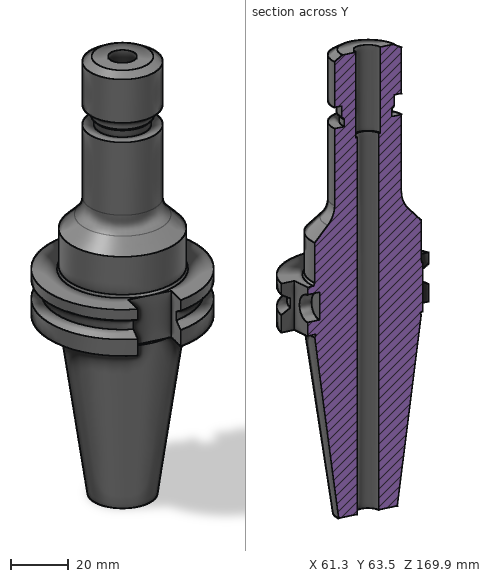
import cadquery as cq
import math


gauge_dia = 44.45
taper_length = 68.25
taper_ratio = 7 / 24
relief_height = 1.0
relief_depth = 0.5

flange_dia = 63.5
flange_top_z = 19.05
groove_z = 11.18
groove_floor_dia = 56.4
groove_floor_width = 3.4
groove_wall_angle = 30

slot_width = 16.4
left_slot_x = 25.2
right_slot_x = 22.8
side_hole_dia = 10.0
side_hole_depth = 5.0

body_dia = 44.4
foot_height = 1.0
foot_width = 0.6
shoulder_z = 34.8
neck_dia = 28.0
neck_fillet = 9.5
shoulder_angle = 45
neck_top_z = 75.2

undercut_dia = 20.0
undercut_top_z = 77.8
collar_dia = 22.0
collar_bottom_z = 78.8
nut_dia = 28.0
nut_bottom_z = 82.8
nut_top_z = 101.6
nut_face_dia = 21.4
nut_chamfer_angle = 30

collet_bore_dia = 10.0
collet_bore_depth = 31.5
through_bore_dia = 8.8


def revolved_body():
    """Solid of revolution of the whole outline, from the small taper end up to the nut face."""
    gauge_radius = gauge_dia / 2
    tip_radius = gauge_radius - taper_length * taper_ratio / 2
    flange_radius = flange_dia / 2
    floor_radius = groove_floor_dia / 2
    floor_half = groove_floor_width / 2
    wall_rise = (flange_radius - floor_radius) * math.tan(math.radians(groove_wall_angle))
    mouth_half = floor_half + wall_rise

    body_radius = body_dia / 2
    neck_radius = neck_dia / 2
    slope = math.radians(shoulder_angle)
    corner_z = shoulder_z + (body_radius - neck_radius) * math.tan(slope)
    turn = math.pi / 2 - slope
    fillet_top_z = corner_z + neck_fillet * math.tan(turn / 2)
    fillet_center_r = neck_radius + neck_fillet

    def fillet_point(angle):
        return (
            fillet_center_r - neck_fillet * math.cos(angle),
            fillet_top_z - neck_fillet * math.sin(angle),
        )

    nut_radius = nut_dia / 2
    nut_face_radius = nut_face_dia / 2
    nut_chamfer = (nut_radius - nut_face_radius) * math.tan(math.radians(nut_chamfer_angle))

    outline = (
        cq.Workplane("XZ")
        .moveTo(0, -taper_length)
        .lineTo(tip_radius, -taper_length)
        .lineTo(gauge_radius, 0)
        .lineTo(gauge_radius - relief_depth, relief_height)
        .lineTo(flange_radius, relief_height)
        .lineTo(flange_radius, groove_z - mouth_half)
        .lineTo(floor_radius, groove_z - floor_half)
        .lineTo(floor_radius, groove_z + floor_half)
        .lineTo(flange_radius, groove_z + mouth_half)
        .lineTo(flange_radius, flange_top_z)
        .lineTo(body_radius + foot_width, flange_top_z)
        .lineTo(body_radius, flange_top_z + foot_height)
        .lineTo(body_radius, shoulder_z)
        .lineTo(*fillet_point(turn))
        .threePointArc(fillet_point(turn / 2), fillet_point(0))
        .lineTo(neck_radius, neck_top_z)
        .lineTo(undercut_dia / 2, neck_top_z)
        .lineTo(undercut_dia / 2, undercut_top_z)
        .lineTo(collar_dia / 2, collar_bottom_z)
        .lineTo(collar_dia / 2, nut_bottom_z)
        .lineTo(nut_radius, nut_bottom_z)
        .lineTo(nut_radius, nut_top_z - nut_chamfer)
        .lineTo(nut_face_radius, nut_top_z)
        .lineTo(0, nut_top_z)
        .close()
    )
    return outline.revolve(360, (0, 0, 0), (0, 1, 0))


def drive_slot(floor_x, side):
    """Cutter for one slot through the flange height; side is -1 for -X and +1 for +X."""
    depth = flange_dia / 2 - floor_x
    height = flange_top_z - relief_height
    return (
        cq.Workplane("XY")
        .box(depth, slot_width, height, centered=(True, True, False))
        .translate((side * (floor_x + depth / 2), 0, relief_height))
    )


def side_hole():
    """Cutter for the blind hole in the floor of the -X slot, level with the groove."""
    return (
        cq.Workplane("YZ", origin=(-left_slot_x, 0, groove_z))
        .circle(side_hole_dia / 2)
        .extrude(side_hole_depth)
    )


def axial_bore():
    """Cutter for the through bore and the wider collet bore at the nut end."""
    through = (
        cq.Workplane("XY", origin=(0, 0, -taper_length))
        .circle(through_bore_dia / 2)
        .extrude(taper_length + nut_top_z)
    )
    collet = (
        cq.Workplane("XY", origin=(0, 0, nut_top_z))
        .circle(collet_bore_dia / 2)
        .extrude(-collet_bore_depth)
    )
    return through.union(collet)


result = (
    revolved_body()
    .cut(drive_slot(left_slot_x, -1))
    .cut(drive_slot(right_slot_x, 1))
    .cut(side_hole())
    .cut(axial_bore())
)